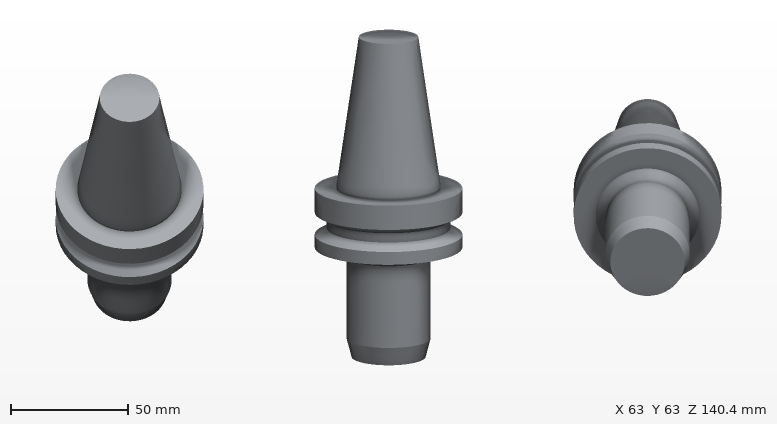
import cadquery as cq

flange_diameter = 63.0
groove_diameter = 53.0
taper_large_diameter = 44.5
taper_small_diameter = 25.4
neck_diameter = 44.1
body_diameter = 36.0
nose_diameter = 31.7

nose_chamfer_top = 8.1
body_top = 44.0
flange_bottom = 48.0
lower_rim_top = 53.6
groove_floor_bottom = 56.6
groove_floor_top = 60.7
upper_rim_bottom = 63.3
flange_top = 74.0
taper_base = 75.0
overall_height = 140.4

profile_stations = [
    (nose_diameter, 0),
    (body_diameter, nose_chamfer_top),
    (body_diameter, body_top),
    (neck_diameter, flange_bottom),
    (flange_diameter, flange_bottom),
    (flange_diameter, lower_rim_top),
    (groove_diameter, groove_floor_bottom),
    (groove_diameter, groove_floor_top),
    (flange_diameter, upper_rim_bottom),
    (flange_diameter, flange_top),
    (taper_large_diameter, flange_top),
    (taper_large_diameter, taper_base),
    (taper_small_diameter, overall_height),
]

half_section = [(diameter / 2, height) for diameter, height in profile_stations]
axis_points = [(0, overall_height), (0, 0)]

result = (
    cq.Workplane("XZ")
    .polyline(half_section + axis_points)
    .close()
    .revolve(360, (0, 0, 0), (0, 1, 0))
)